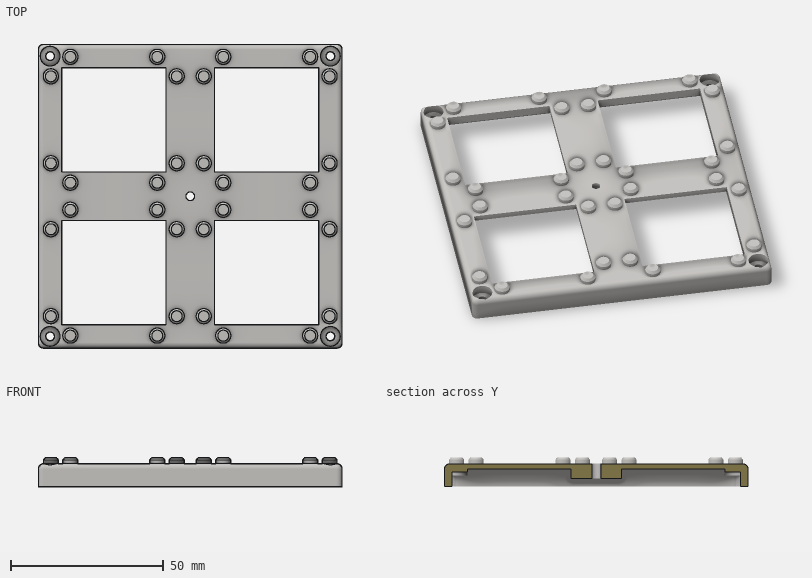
import cadquery as cq

side = 99.8
total_height = 9.7
stud_height = 2.0
body_height = total_height - stud_height
rib_thickness = 1.9
rim_thickness = 2.9
edge_radius = 1.8
wall_thickness = 2.6

window_side = 34.1
window_pitch = 50.2
stud_diameter = 5.0
stud_flat_diameter = 3.6
stud_chamfer_height = 0.8
stud_near_offset = 14.3
stud_far_offset = 20.7
stud_embed = 1.0

hole_diameter = 2.8
counterbore_diameter = 6.5
counterbore_depth = 3.0
corner_hole_pitch = 92.0
corner_pad_diameter = 7.6
corner_pad_thickness = 4.0

boss_diameter = 16.9
boss_height = 3.1

inner_side = side - 2 * wall_thickness
rib_underside = body_height - rib_thickness
rim_underside = body_height - rim_thickness
window_span = window_pitch + window_side


def square_grid(pitch):
    """Four points at the corners of a centred square."""
    return [(sx * pitch / 2, sy * pitch / 2) for sx in (-1, 1) for sy in (-1, 1)]


window_centers = square_grid(window_pitch)
corner_holes = square_grid(corner_hole_pitch)


def make_shell():
    """Rounded square tray, thinner at the cross of ribs between the windows than at its rim."""
    body = cq.Workplane("XY").box(side, side, body_height, centered=(True, True, False))
    body = body.edges("|Z").fillet(edge_radius)
    body = body.faces(">Z").edges().fillet(edge_radius)
    cavity = cq.Workplane("XY").rect(inner_side, inner_side).extrude(rim_underside)
    rib_recess = cq.Workplane("XY").rect(window_span, window_span).extrude(rib_underside)
    return body.cut(cavity).cut(rib_recess)


def make_corner_pads():
    """Thicken the rim locally so that it can hold the counterbores."""
    pad_height = corner_pad_thickness - rim_thickness
    pads = cq.Workplane("XY").workplane(offset=rim_underside).pushPoints(corner_holes)
    return pads.circle(corner_pad_diameter / 2).extrude(-pad_height)


def make_boss():
    """Round boss hanging from the crossing of the ribs."""
    return cq.Workplane("XY").workplane(offset=rib_underside).circle(boss_diameter / 2).extrude(-boss_height)


def make_stud():
    """Chamfered round stud standing on Z = 0, with a root sunk below it."""
    radius = stud_diameter / 2
    flat_radius = stud_flat_diameter / 2
    profile = (
        cq.Workplane("XZ")
        .moveTo(0, -stud_embed)
        .lineTo(radius, -stud_embed)
        .lineTo(radius, stud_height - stud_chamfer_height)
        .lineTo(flat_radius, stud_height)
        .lineTo(0, stud_height)
        .close()
    )
    return profile.revolve(360, (0, 0), (0, 1))


def stud_points():
    """Two studs beside each end of every window side."""
    points = []
    for cx, cy in window_centers:
        for dx, dy in ((stud_near_offset, stud_far_offset), (stud_far_offset, stud_near_offset)):
            points += [(cx + sx * dx, cy + sy * dy) for sx in (-1, 1) for sy in (-1, 1)]
    return points


windows = cq.Workplane("XY").pushPoints(window_centers).rect(window_side, window_side).extrude(body_height)
holes = cq.Workplane("XY").pushPoints(corner_holes + [(0, 0)]).circle(hole_diameter / 2).extrude(body_height)
counterbores = (
    cq.Workplane("XY")
    .workplane(offset=body_height - counterbore_depth)
    .pushPoints(corner_holes)
    .circle(counterbore_diameter / 2)
    .extrude(counterbore_depth)
)

result = make_shell().union(make_corner_pads()).union(make_boss()).cut(windows)
stud = make_stud()
for x, y in stud_points():
    result = result.union(stud.translate((x, y, body_height)))
result = result.cut(holes).cut(counterbores)